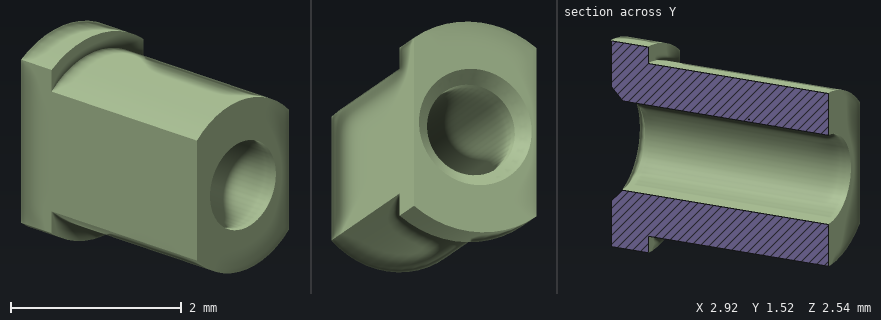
import cadquery as cq

total_length = 2.921
flange_length = 0.508
flange_diameter = 2.54
body_diameter = 2.134
width_across_flats = 1.524
bore_diameter = 1.092
countersink_diameter = 1.402

countersink_depth = (countersink_diameter - bore_diameter) / 2


def make_flanged_cylinder():
    """Round body along +X with a larger flange at the X = 0 end."""
    body = cq.Workplane("YZ").circle(body_diameter / 2).extrude(total_length)
    flange = cq.Workplane("YZ").circle(flange_diameter / 2).extrude(flange_length)
    return body.union(flange)


def cut_side_flats(part):
    """Trim the -Y and +Y sides of body and flange to two parallel flats."""
    slab = cq.Workplane("YZ").rect(width_across_flats, flange_diameter * 2).extrude(total_length)
    return part.intersect(slab)


def cut_bore(part):
    """Through bore along X."""
    bore = cq.Workplane("YZ").circle(bore_diameter / 2).extrude(total_length)
    return part.cut(bore)


def cut_countersink(part):
    """Conical entry to the bore on the flange face."""
    cone = cq.Solid.makeCone(
        countersink_diameter / 2,
        bore_diameter / 2,
        countersink_depth,
        pnt=cq.Vector(0, 0, 0),
        dir=cq.Vector(1, 0, 0),
    )
    return part.cut(cq.Workplane(cone))


flanged_cylinder = make_flanged_cylinder()
flatted_part = cut_side_flats(flanged_cylinder)
bored_part = cut_bore(flatted_part)
result = cut_countersink(bored_part)